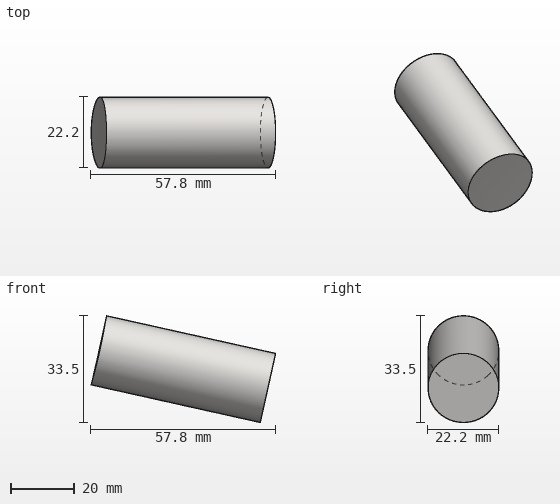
import cadquery as cq

diameter = 22.23
length = 54.31
tilt = 12.55

side_fall = 0.27
hollow_depth = 0.06

radius = diameter / 2
left = -length / 2


def arc_radius(half_chord, rise):
    """Radius of the arc with the given half chord and rise."""
    return (half_chord**2 + rise**2) / (2 * rise)


def round_pin():
    """Plain round pin along X, centred on the origin."""
    return cq.Workplane("YZ").workplane(offset=left).circle(radius).extrude(length)


def saddle_body():
    """Body of revolution about an axis parallel to Z, waisted where it meets the -X end."""
    axis_x = left + hollow_depth + arc_radius(radius, side_fall)
    return (
        cq.Workplane("XZ")
        .moveTo(left, -radius)
        .threePointArc((left + hollow_depth, 0), (left, radius))
        .lineTo(axis_x, radius)
        .lineTo(axis_x, -radius)
        .close()
        .revolve(360, (axis_x, 0, 0), (axis_x, 1, 0))
    )


saddle_pin = round_pin().intersect(saddle_body())
result = saddle_pin.rotate((0, 0, 0), (0, 1, 0), tilt)